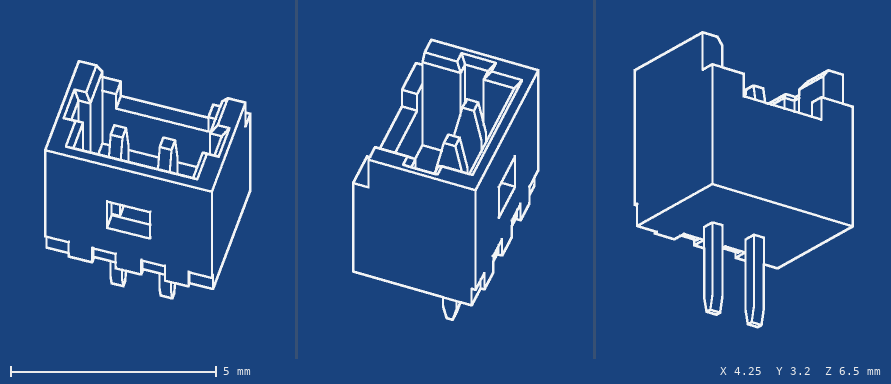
import cadquery as cq

housing_width = 4.25
housing_depth = 3.2
housing_height = 4.2
back_wall = 0.4
back_wall_height = 3.2
inner_back = housing_depth - back_wall

side_wall = 0.6
front_wall = 0.4
slot_wall = 0.3
slot_front = 1.2
slot_back = 1.8
cavity_floor = 1.0
lead_in = 0.15
lead_in_height = 0.2
cavity_width = housing_width - 2 * side_wall
slot_span = housing_width - 2 * slot_wall

window_size = 1.1
window_bottom = 1.6
back_notch_width = 2.35
back_notch_floor = 2.6

recess_width = 0.6
recess_height = 0.6
recess_depth = 0.1
relief_height = 0.1
relief_depth = 0.4

pin_pitch = 1.25
pin_y = 1.2
pin_width = 0.3
tail_thickness = 0.35
tail_tip_thickness = 0.16
tail_length = 2.3
tail_taper = 0.4
blade_thickness = 0.7
blade_tip_thickness = 0.3
blade_top = 4.0
blade_taper = 1.0
pin_positions = [-pin_pitch / 2, pin_pitch / 2]


def block(width, y_front, y_back, z_bottom, z_top, x_center=0):
    """Box centred on x_center in X, between the given Y and Z limits."""
    size = (width, y_back - y_front, z_top - z_bottom)
    corner = (x_center, y_front, z_bottom)
    return cq.Workplane("XY").box(*size, centered=(True, False, False)).translate(corner)


def flared_block(width, y_front, y_back):
    """Funnel at the cavity mouth that widens by lead_in on every side."""
    center_y = (y_front + y_back) / 2
    depth = y_back - y_front
    return (
        cq.Workplane("XY", origin=(0, center_y, housing_height - lead_in_height))
        .rect(width, depth)
        .workplane(offset=lead_in_height)
        .rect(width + 2 * lead_in, depth + 2 * lead_in)
        .loft(ruled=True)
    )


def make_housing():
    outer = block(housing_width, 0, housing_depth, 0, back_wall_height)
    return outer.union(block(housing_width, 0, inner_back, 0, housing_height))


def cut_cavity(body):
    body = body.cut(block(cavity_width, front_wall, inner_back, cavity_floor, housing_height))
    body = body.cut(block(slot_span, slot_front, slot_back, cavity_floor, housing_height))
    body = body.cut(flared_block(cavity_width, front_wall, housing_depth))
    return body.cut(flared_block(slot_span, slot_front, slot_back))


def cut_wall_openings(body):
    body = body.cut(block(window_size, 0, front_wall, window_bottom, window_bottom + window_size))
    return body.cut(block(back_notch_width, inner_back, housing_depth, back_notch_floor, back_wall_height))


def cut_recesses(body):
    corner_x = (housing_width - recess_width) / 2
    for x in [-corner_x, *pin_positions, corner_x]:
        body = body.cut(block(recess_width, 0, recess_depth, 0, recess_height, x))
    for x in pin_positions:
        body = body.cut(block(recess_width, 0, relief_depth, 0, relief_height, x))
    return body


def make_pin(x):
    half_tail = tail_thickness / 2
    half_tail_tip = tail_tip_thickness / 2
    half_blade = blade_thickness / 2
    half_blade_tip = blade_tip_thickness / 2
    shoulder_z = cavity_floor / 2
    half_outline = [
        (half_tail_tip, -tail_length),
        (half_tail, -tail_length + tail_taper),
        (half_tail, shoulder_z),
        (half_blade, shoulder_z),
        (half_blade, blade_top - blade_taper),
        (half_blade_tip, blade_top),
    ]
    mirrored = [(-y, z) for y, z in reversed(half_outline)]
    return (
        cq.Workplane("YZ", origin=(x, pin_y, 0))
        .polyline(half_outline + mirrored)
        .close()
        .extrude(pin_width / 2, both=True)
    )


result = cut_recesses(cut_wall_openings(cut_cavity(make_housing())))
for pin_x in pin_positions:
    result = result.union(make_pin(pin_x))